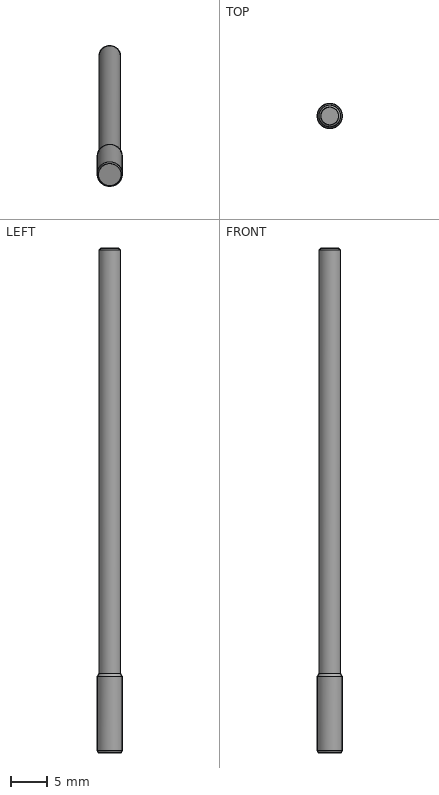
import cadquery as cq
import math

total_length = 70.0
head_diameter = 3.5
head_length = 11.0
shank_diameter = 3.0

head_radius = head_diameter / 2
shank_radius = shank_diameter / 2

shank_tip_chamfer = 0.3
head_chamfer_slope = math.radians(60)
head_bottom_chamfer_depth = 0.175


def chamfer_height(depth):
    """Axial height of a head chamfer of the given radial depth."""
    return depth * math.tan(head_chamfer_slope)


def make_head():
    """Thick solid cylinder at the bottom; its upper chamfer narrows to the shank."""
    bottom_height = chamfer_height(head_bottom_chamfer_depth)
    top_height = chamfer_height(head_radius - shank_radius)
    half_section = [
        (0, 0),
        (head_radius - head_bottom_chamfer_depth, 0),
        (head_radius, bottom_height),
        (head_radius, head_length - top_height),
        (shank_radius, head_length),
        (0, head_length),
    ]
    return cq.Workplane("XZ").polyline(half_section).close().revolve()


def make_shank():
    """Long slender rod standing on the head, chamfered at its free end."""
    shank_length = total_length - head_length
    shank = cq.Workplane("XY").workplane(offset=head_length)
    shank = shank.circle(shank_radius).extrude(shank_length)
    return shank.faces(">Z").chamfer(shank_tip_chamfer)


head = make_head()
shank = make_shank()

result = cq.Compound.makeCompound([head.val(), shank.val()])